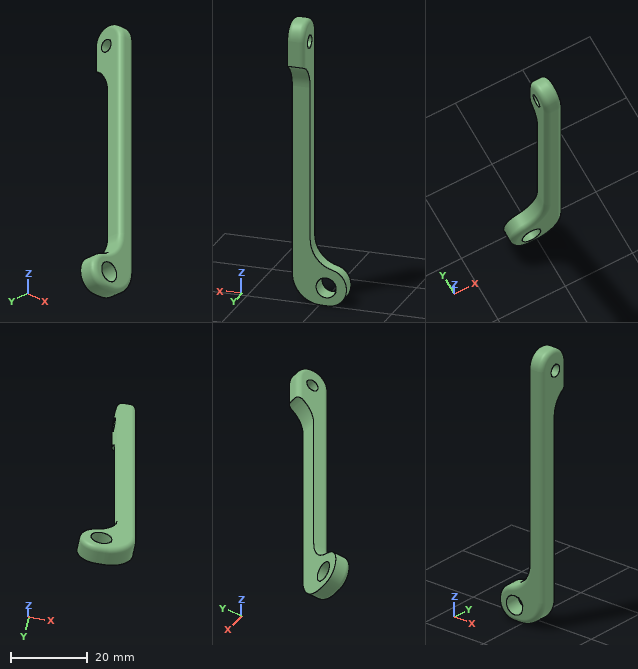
import cadquery as cq
import math

overall_width = 15.0
overall_height = 80.0
lug_depth = 10.0
arm_depth = 5.0
arm_width = 5.0

foot_radius = 5.0
heel_radius = 8.0
inner_bend_radius = 8.0
inner_bend_top = 18.0
pivot_diameter = 5.5
pivot_x = 5.62
pivot_z = 5.02

lug_hole_diameter = 3.5
lug_hole_y = 5.41
lug_hole_z = 73.8
notch_radius = 8.0
lug_lip_z = 68.0

edge_fillet = 1.5

arm_left = overall_width - arm_width


def on_circle(center, radius, angle):
    """Point on a circle at an angle in radians."""
    return (center[0] + radius * math.cos(angle), center[1] + radius * math.sin(angle))


def make_outline_body():
    """Foot and arm outline, extruded over the full lug depth."""
    bend_center = (arm_left - inner_bend_radius, inner_bend_top)
    center_rise = math.sqrt((inner_bend_radius + foot_radius) ** 2 - (foot_radius - bend_center[0]) ** 2)
    tip_center = (foot_radius, inner_bend_top - center_rise)
    bend_end_angle = math.atan2(-center_rise, foot_radius - bend_center[0])
    tip_end_angle = bend_end_angle + math.pi
    heel_center = (overall_width - heel_radius, heel_radius)
    lower_tip_center = (foot_radius, foot_radius)

    return (
        cq.Workplane("XZ")
        .moveTo(foot_radius, 0)
        .lineTo(heel_center[0], 0)
        .threePointArc(on_circle(heel_center, heel_radius, -math.pi / 4), (overall_width, heel_radius))
        .lineTo(overall_width, overall_height)
        .lineTo(arm_left, overall_height)
        .lineTo(arm_left, inner_bend_top)
        .threePointArc(
            on_circle(bend_center, inner_bend_radius, bend_end_angle / 2),
            on_circle(bend_center, inner_bend_radius, bend_end_angle),
        )
        .threePointArc(
            on_circle(tip_center, foot_radius, (tip_end_angle + math.pi) / 2),
            (0, tip_center[1]),
        )
        .lineTo(0, foot_radius)
        .threePointArc(on_circle(lower_tip_center, foot_radius, -3 * math.pi / 4), (foot_radius, 0))
        .close()
        .extrude(-lug_depth)
    )


def make_side_envelope():
    """Side profile with a full round top, spanning the whole width."""
    round_start_z = overall_height - lug_depth / 2
    return (
        cq.Workplane("YZ")
        .lineTo(lug_depth, 0)
        .lineTo(lug_depth, round_start_z)
        .threePointArc((lug_depth / 2, overall_height), (0, round_start_z))
        .close()
        .extrude(overall_width)
    )


def make_back_relief():
    """Material behind the arm and foot, ending in the concave run-out below the lug."""
    center_y = arm_depth + notch_radius
    end_angle = math.pi - math.acos((center_y - lug_depth) / notch_radius)
    center = (center_y, lug_lip_z - notch_radius * math.sin(end_angle))
    return (
        cq.Workplane("YZ")
        .moveTo(arm_depth, 0)
        .lineTo(lug_depth, 0)
        .lineTo(lug_depth, lug_lip_z)
        .threePointArc(
            on_circle(center, notch_radius, (end_angle + math.pi) / 2),
            (arm_depth, center[1]),
        )
        .close()
        .extrude(overall_width)
    )


def make_pivot_hole():
    """Through hole in the foot, along Y."""
    return (
        cq.Workplane("XZ")
        .center(pivot_x, pivot_z)
        .circle(pivot_diameter / 2)
        .extrude(-lug_depth)
    )


def make_lug_hole():
    """Through hole in the lug, along X."""
    return (
        cq.Workplane("YZ")
        .center(lug_hole_y, lug_hole_z)
        .circle(lug_hole_diameter / 2)
        .extrude(overall_width)
    )


body = make_outline_body().intersect(make_side_envelope())

body = body.edges("not(|X or |Y)").fillet(edge_fillet)
body = body.cut(make_back_relief())

result = body.cut(make_pivot_hole()).cut(make_lug_hole())